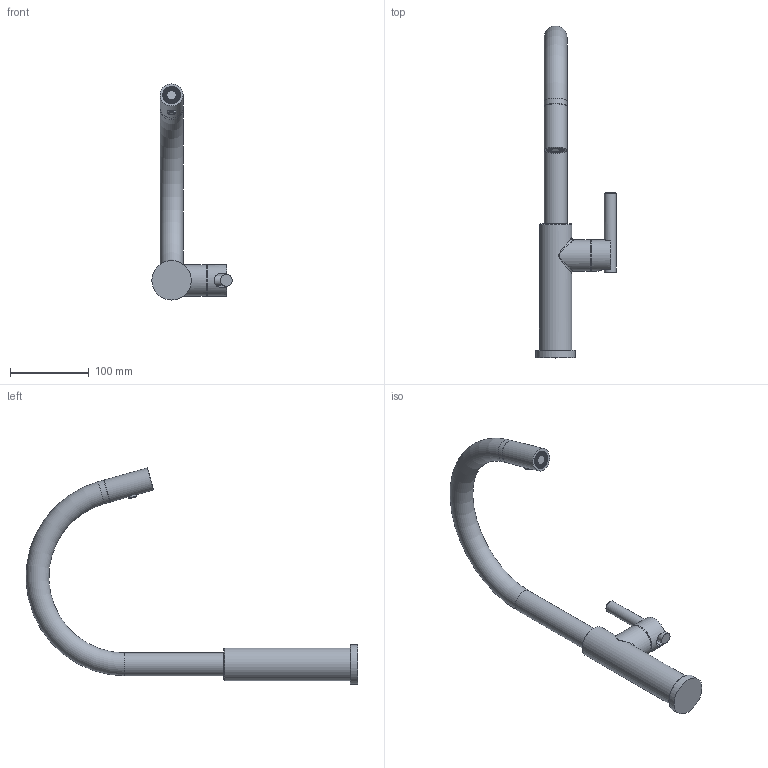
import cadquery as cq
import math

FLANGE_RADIUS = 25.0
FLANGE_LENGTH = 10.0
FLANGE_CHAMFER = 0.8
BODY_RADIUS = 20.5
BODY_END = 170.0
BODY_CHAMFER = 0.8

TUBE_RADIUS = 14.5
ARC_RADIUS = 111.0
SPOUT_REACH = 421.15
ARC_START = SPOUT_REACH - ARC_RADIUS - TUBE_RADIUS
HEAD_TILT = 15.6
ARC_ANGLE = 180.0 - HEAD_TILT

COLLAR_LENGTH = 7.0
SEAM_WIDTH = 0.6
SEAM_DEPTH = 0.4
SPOUT_HEIGHT = 249.25
HEAD_RADIUS = 14.5
BUTTON_RADIUS = 5.5
BUTTON_SETBACK = 28.0
BUTTON_HEIGHT = 17.0
BUTTON_CHAMFER = 1.0

NOZZLE_RADIUS = 0.45
NOZZLE_DEPTH = 1.0
NOZZLE_RINGS = 4
NOZZLE_FIRST_RING = 6.6
NOZZLE_PITCH = 1.4

VALVE_RADIUS = 20.0
VALVE_Y = 130.0
VALVE_END = 70.0
VALVE_FILLET = 2.5
GROOVE_X = 44.5
GROOVE_WIDTH = 1.4
GROOVE_DEPTH = 0.5

ROD_RADIUS = 7.5
LEVER_REACH = 76.79
ROD_X = LEVER_REACH - ROD_RADIUS
ROD_START = 109.0
ROD_END = 210.0
ROD_CHAMFER = 1.0
SLOT_HALF_WIDTH = 9.0
SLOT_ROUND_X = 63.0
SLOT_FLOOR_Y = VALVE_Y + SLOT_HALF_WIDTH
NECK_RADIUS = 6.5

OVERLAP = 1.0


X_AXIS = (1, 0, 0)
Y_AXIS = (0, 1, 0)
tilt = math.radians(HEAD_TILT)
HEAD_AXIS = (0, -math.cos(tilt), math.sin(tilt))
HEAD_DOWN = (0, -math.sin(tilt), -math.cos(tilt))
ARC_END = (
    0,
    ARC_START + ARC_RADIUS * math.sin(tilt),
    ARC_RADIUS * (1 + math.cos(tilt)),
)
OUTLET_HEIGHT = SPOUT_HEIGHT - HEAD_RADIUS * math.cos(tilt)
HEAD_LENGTH = (OUTLET_HEIGHT - ARC_END[2]) / math.sin(tilt)


def cylinder(start, direction, radius, length):
    """Solid cylinder growing from start along direction."""
    return cq.Workplane(
        cq.Solid.makeCylinder(radius, length, cq.Vector(*start), cq.Vector(*direction))
    )


def ring_groove(start, direction, radius, depth, width):
    """Ring of material to remove from a round bar of the given radius."""
    outer = cylinder(start, direction, radius + OVERLAP, width)
    return outer.cut(cylinder(start, direction, radius - depth, width))


def along_head(distance):
    """Point on the spray head axis at a distance from the end of the arc."""
    return tuple(p + distance * d for p, d in zip(ARC_END, HEAD_AXIS))


def make_column():
    flange = cylinder((0, 0, 0), Y_AXIS, FLANGE_RADIUS, FLANGE_LENGTH)
    flange = flange.faces(">Y").chamfer(FLANGE_CHAMFER)
    body = cylinder((0, 0, 0), Y_AXIS, BODY_RADIUS, BODY_END)
    valve = cylinder((0, VALVE_Y, 0), X_AXIS, VALVE_RADIUS, VALVE_END)
    column = body.union(valve)
    reach = VALVE_RADIUS + OVERLAP
    junction = cq.selectors.BoxSelector(
        (-OVERLAP, VALVE_Y - reach, -reach),
        (BODY_RADIUS + OVERLAP, VALVE_Y + reach, reach),
        boundingbox=True,
    )
    column = column.edges(junction).fillet(VALVE_FILLET)
    return column.faces(">Y").chamfer(BODY_CHAMFER).union(flange)


def make_lever():
    rod = cylinder((ROD_X, ROD_START, 0), Y_AXIS, ROD_RADIUS, ROD_END - ROD_START)
    rod = rod.faces(">Y").chamfer(ROD_CHAMFER)
    neck_start = SLOT_ROUND_X - SLOT_HALF_WIDTH - OVERLAP
    neck = cylinder((neck_start, VALVE_Y, 0), X_AXIS, NECK_RADIUS, ROD_X - neck_start)
    return rod.union(neck)


def make_lever_slot():
    start_y = VALVE_Y - VALVE_RADIUS - OVERLAP
    length = SLOT_FLOOR_Y - start_y
    round_end = cylinder((SLOT_ROUND_X, start_y, 0), Y_AXIS, SLOT_HALF_WIDTH, length)
    open_length = VALVE_END + OVERLAP - SLOT_ROUND_X
    opening = cq.Workplane().box(
        open_length, length, 2 * SLOT_HALF_WIDTH, centered=(False, False, True)
    )
    return round_end.union(opening.translate((SLOT_ROUND_X, start_y, 0)))


def make_tube():
    start_y = BODY_END - OVERLAP
    straight = cylinder((0, start_y, 0), Y_AXIS, TUBE_RADIUS, ARC_START - start_y)
    arc = (
        cq.Workplane("XZ", origin=(0, ARC_START, 0))
        .circle(TUBE_RADIUS)
        .revolve(ARC_ANGLE, (0, ARC_RADIUS, 0), (1, ARC_RADIUS, 0))
    )
    return straight.union(arc)


def make_nozzles():
    outlet = cq.Plane(origin=along_head(HEAD_LENGTH), xDir=X_AXIS, normal=HEAD_AXIS)
    nozzles = cq.Workplane(outlet)
    for ring in range(NOZZLE_RINGS):
        ring_radius = NOZZLE_FIRST_RING + ring * NOZZLE_PITCH
        count = int(2 * math.pi * ring_radius / NOZZLE_PITCH)
        nozzles = nozzles.polarArray(ring_radius, 0, 360, count).circle(NOZZLE_RADIUS)
    return nozzles.extrude(-NOZZLE_DEPTH)


def make_button():
    start = along_head(HEAD_LENGTH - BUTTON_SETBACK)
    button = cylinder(start, HEAD_DOWN, BUTTON_RADIUS, BUTTON_HEIGHT)
    outer_face = cq.selectors.DirectionMinMaxSelector(cq.Vector(*HEAD_DOWN))
    return button.faces(outer_face).chamfer(BUTTON_CHAMFER)


def make_head():
    head = cylinder(ARC_END, HEAD_AXIS, HEAD_RADIUS, HEAD_LENGTH)
    seam = ring_groove(along_head(COLLAR_LENGTH), HEAD_AXIS, HEAD_RADIUS, SEAM_DEPTH, SEAM_WIDTH)
    return head.cut(seam).union(make_button()).cut(make_nozzles())


def make_valve_groove():
    start = (GROOVE_X - GROOVE_WIDTH / 2, VALVE_Y, 0)
    return ring_groove(start, X_AXIS, VALVE_RADIUS, GROOVE_DEPTH, GROOVE_WIDTH)


column = make_column().cut(make_valve_groove()).cut(make_lever_slot())
result = column.union(make_lever()).union(make_tube()).union(make_head())